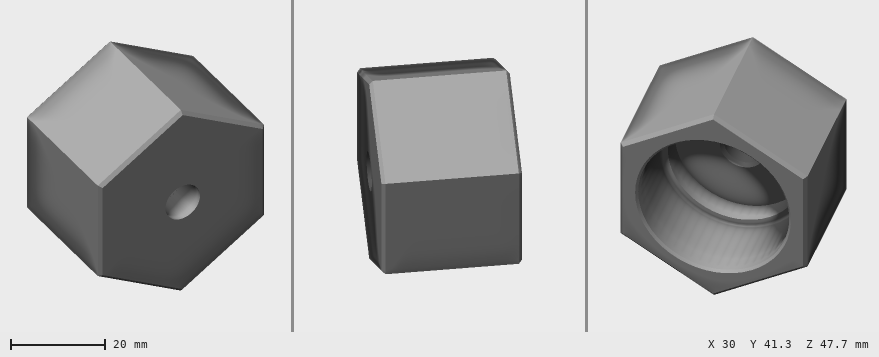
import cadquery as cq
import math

corner_diameter = 47.65
length = 30.0
edge_chamfer = 0.75

lead_in_chamfer = 0.52
bore_radius = 16.7
bore_end = 15.95
seat_round = 0.55
seat_depth = bore_end + seat_round

recess_radius = 14.95
recess_depth = 21.7
outlet_radius = 4.3
outlet_chamfer = 0.75


def hex_body():
    body = cq.Workplane("YZ").polygon(6, corner_diameter).extrude(length)
    body = body.rotate((0, 0, 0), (1, 0, 0), 90)
    return body.faces("<X or >X").chamfer(edge_chamfer)


def cavity():
    """Solid of revolution about X; profile points are (depth, radius)."""
    round_mid = seat_round * math.sqrt(0.5)
    profile = (
        cq.Workplane("XY")
        .moveTo(0, 0)
        .lineTo(0, bore_radius + lead_in_chamfer)
        .lineTo(lead_in_chamfer, bore_radius)
        .lineTo(bore_end, bore_radius)
        .threePointArc(
            (bore_end + round_mid, bore_radius - seat_round + round_mid),
            (seat_depth, bore_radius - seat_round),
        )
        .lineTo(seat_depth, recess_radius)
        .lineTo(recess_depth, recess_radius)
        .lineTo(recess_depth, outlet_radius + outlet_chamfer)
        .lineTo(recess_depth + outlet_chamfer, outlet_radius)
        .lineTo(length, outlet_radius)
        .lineTo(length, 0)
        .close()
    )
    return profile.revolve(360, (0, 0, 0), (1, 0, 0))


result = hex_body().cut(cavity())